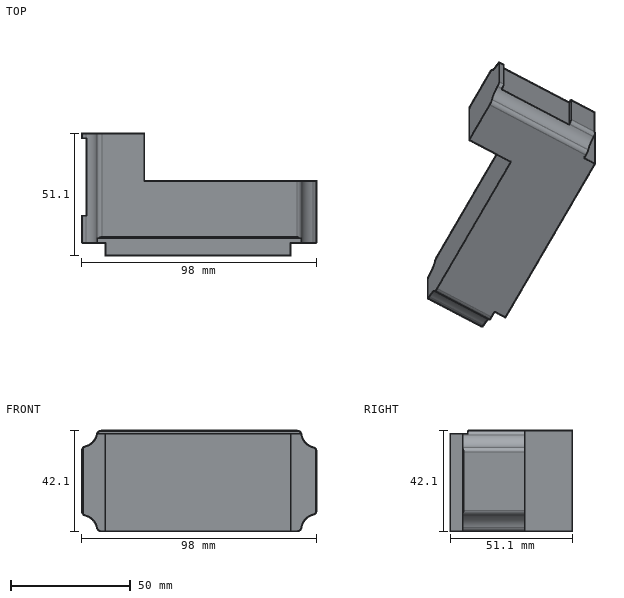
import cadquery as cq
import math

length = 98.0
depth = 51.1
height = 42.1

plate_thickness = 5.2
leg_width = 26.1
long_arm_back = 31.2

plate_left = 9.8
plate_right = 87.1
step_drop = 1.3
step_back = 7.35

cove_radius = 6.4
left_cove_offset = 0.4
right_cove_offset = 0.8
blend_radius = 2.1

recess_depth = 1.9
back_lip = 2.2
front_lip = 11.6

bevel_depth = 0.5
bevel_drop = 0.3
side_bevel = 0.5


def direction(start, end):
    """Angle of the line from start to end."""
    return math.atan2(end[1] - start[1], end[0] - start[0])


def arc_point(center, radius, angle):
    """Point at the given angle on a circle."""
    return (center[0] + radius * math.cos(angle), center[1] + radius * math.sin(angle))


def corner_points(cove_offset):
    """Ends and middles of the three arcs on the corner at the origin."""
    cove_center = (0, cove_offset)
    reach = cove_radius + blend_radius
    side_center = (blend_radius, cove_offset + math.sqrt(reach**2 - blend_radius**2))
    top_center = (math.sqrt(reach**2 - (blend_radius - cove_offset)**2), blend_radius)
    side_angle = direction(cove_center, side_center)
    top_angle = direction(cove_center, top_center)

    side_normal = math.pi
    top_normal = 1.5 * math.pi
    side_mid_angle = (side_normal + side_angle + math.pi) / 2
    top_mid_angle = (top_normal + top_angle + math.pi) / 2

    return [
        (0, side_center[1]),
        arc_point(side_center, blend_radius, side_mid_angle),
        arc_point(cove_center, cove_radius, side_angle),
        arc_point(cove_center, cove_radius, (side_angle + top_angle) / 2),
        arc_point(cove_center, cove_radius, top_angle),
        arc_point(top_center, blend_radius, top_mid_angle),
        (top_center[0], 0),
    ]


def body_profile():
    """Rectangle with a cove on each corner and a tangent round at both cove ends."""
    left_points = corner_points(left_cove_offset)
    right_points = corner_points(right_cove_offset)
    corners = [
        left_points,
        [(length - x, z) for x, z in reversed(right_points)],
        [(length - x, height - z) for x, z in right_points],
        [(x, height - z) for x, z in reversed(left_points)],
    ]
    outline = cq.Workplane("XZ", origin=(0, depth, 0)).moveTo(*left_points[0])
    for index, corner in enumerate(corners):
        start, mid_a, join_a, mid_cove, join_b, mid_b, end = corner
        if index > 0:
            outline = outline.lineTo(*start)
        outline = outline.threePointArc(mid_a, join_a)
        outline = outline.threePointArc(mid_cove, join_b)
        outline = outline.threePointArc(mid_b, end)
    return outline.close()


def block(x_range, y_range, z_range):
    """Box spanning the given (start, end) ranges."""
    starts, ends = zip(x_range, y_range, z_range)
    sizes = [end - start for start, end in zip(starts, ends)]
    return cq.Workplane("XY").box(*sizes, centered=False).translate(starts)


def side_bevel_wedge(side_x, inward):
    """Wedge along a front vertical edge; inward is +1 or -1 along X."""
    corner = (side_x, plate_thickness)
    return (
        cq.Workplane("XY")
        .polyline([
            corner,
            (side_x + inward * side_bevel, plate_thickness),
            (side_x, plate_thickness + side_bevel),
        ])
        .close()
        .extrude(height)
    )


def top_bevel_wedge():
    """Wedge along the top edge of the step."""
    return (
        cq.Workplane("YZ")
        .polyline([
            (step_back, height),
            (step_back, height - bevel_drop),
            (step_back + bevel_depth, height),
        ])
        .close()
        .extrude(length)
    )


body = body_profile().extrude(depth - plate_thickness)
body = body.cut(block((leg_width, length), (long_arm_back, depth), (0, height)))

body = body.cut(block((0, length), (0, step_back), (height - step_drop, height)))
body = body.cut(top_bevel_wedge())
body = body.cut(side_bevel_wedge(0, 1))
body = body.cut(side_bevel_wedge(length, -1))

recess_front = plate_thickness + front_lip
body = body.cut(block((0, recess_depth), (recess_front, depth - back_lip), (0, height)))

plate = block((plate_left, plate_right), (0, plate_thickness), (0, height - step_drop))
result = body.union(plate)